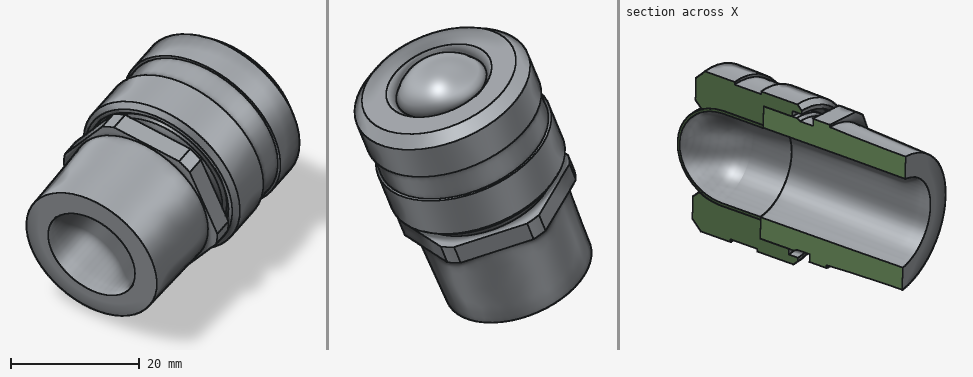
import cadquery as cq
import math

end_x, end_y, end_z = -1.1, -21.1, -0.8
lean_x = 0.037
lean_z = 0.0275

bore_diameter = 16.0
tube_end_diameter = 24.05
tube_root_diameter = 24.85
neck_diameter = 23.12
shank_diameter = 23.85
hex_flat_to_flat = 25.6
hex_corner_diameter = 28.25
hex_turn = 6.0
hex_start = 14.25
hex_end = 17.5
shank_start = 19.85
shank_taper_length = 0.65
neck_end = 26.8

ring_diameter = 28.8
groove_diameter = 27.85
collar_start = 19.6
front_chamfer = 0.85
groove_start = 27.27
groove_end = 32.25
collar_end = 39.55
back_face_diameter = 25.25
back_chamfer_length = 1.7
relief_diameter = 25.67
relief_depth = 1.75
countersink_diameter = 17.3

dome_outer_radius = 8.43
dome_inner_diameter = 15.85
dome_center = 34.27

axis_plane = cq.Plane(
    origin=(end_x, end_y, end_z),
    xDir=(1, -lean_x, 0),
    normal=(lean_x, 1, lean_z),
)


def cylinder(diameter, start, end):
    return axis_plane_at(start).circle(diameter / 2).extrude(end - start)


def cone(start_diameter, end_diameter, start, end):
    return (
        axis_plane_at(start)
        .circle(start_diameter / 2)
        .workplane(offset=end - start)
        .circle(end_diameter / 2)
        .loft(ruled=True)
    )


def axis_plane_at(station):
    return cq.Workplane(axis_plane).workplane(offset=station)


def domed_plug(radius):
    """Cylinder from the neck end, closed by a hemisphere."""
    skirt = cylinder(2 * radius, neck_end, dome_center)
    ball = axis_plane_at(dome_center).sphere(radius)
    hemisphere = ball.intersect(cylinder(2 * radius, dome_center, dome_center + radius))
    return skirt.union(hemisphere)


def make_nipple():
    tube = cone(tube_end_diameter, tube_root_diameter, 0, hex_start)
    hexagon = (
        axis_plane_at(hex_start)
        .transformed(rotate=(0, 0, hex_turn))
        .polygon(6, hex_flat_to_flat / math.cos(math.pi / 6))
        .extrude(hex_end - hex_start)
        .intersect(cylinder(hex_corner_diameter, hex_start, hex_end))
    )
    neck = cylinder(neck_diameter, hex_end, shank_start)
    taper_end = shank_start + shank_taper_length
    taper = cone(neck_diameter, shank_diameter, shank_start, taper_end)
    shank = taper.union(cylinder(shank_diameter, taper_end, neck_end))
    bore = cylinder(bore_diameter, 0, neck_end)
    return tube.union(hexagon).union(neck).union(shank).cut(bore)


def make_collar():
    front_face_diameter = ring_diameter - 2 * front_chamfer
    front_ring_start = collar_start + front_chamfer
    back_ring_end = collar_end - back_chamfer_length
    body = (
        cone(front_face_diameter, ring_diameter, collar_start, front_ring_start)
        .union(cylinder(ring_diameter, front_ring_start, groove_start))
        .union(cylinder(groove_diameter, groove_start, groove_end))
        .union(cylinder(ring_diameter, groove_end, back_ring_end))
        .union(cone(ring_diameter, back_face_diameter, back_ring_end, collar_end))
    )
    relief = cylinder(relief_diameter, collar_start, collar_start + relief_depth)
    shank_socket = cylinder(shank_diameter, collar_start, neck_end)
    countersink_depth = countersink_diameter / 4
    countersink = cone(
        countersink_diameter / 2, countersink_diameter, collar_end - countersink_depth, collar_end
    )
    return body.cut(relief).cut(shank_socket).cut(domed_plug(dome_outer_radius)).cut(countersink)


def make_dome():
    return domed_plug(dome_outer_radius).cut(domed_plug(dome_inner_diameter / 2))


nipple = make_nipple()
collar = make_collar()
dome = make_dome()

result = cq.Compound.makeCompound([nipple.val(), collar.val(), dome.val()])